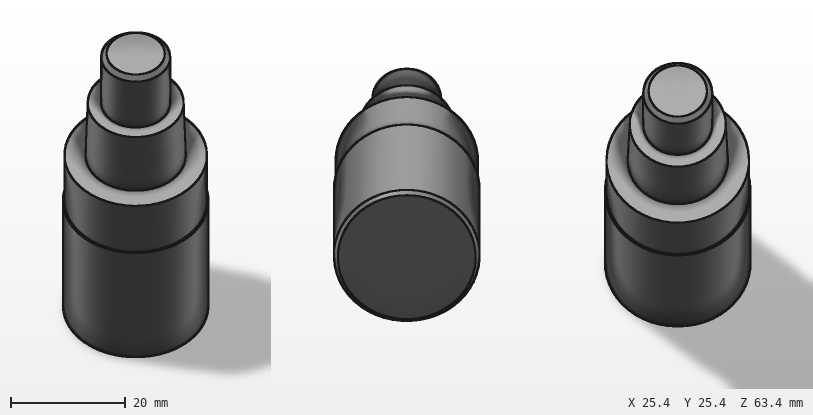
import cadquery as cq

TOTAL_HEIGHT = 63.35
BASE_TOP = 26.7
COLLAR_TOP = 38.15
TAPER_TOP = 51.1

BASE_DIAMETER = 25.4
BASE_RADIUS = BASE_DIAMETER / 2
COLLAR_RADIUS = 12.4
TAPER_BOTTOM_RADIUS = 8.75
TAPER_TOP_RADIUS = 8.35
SHAFT_RADIUS = 6.0

BASE_CHAMFER = 0.7
TIP_CHAMFER_HEIGHT = 0.8
TIP_CHAMFER_WIDTH = 0.95


def make_base():
    """Cylindrical base, chamfered around its bottom edge."""
    base = cq.Workplane("XY").circle(BASE_RADIUS).extrude(BASE_TOP)
    return base.faces("<Z").edges().chamfer(BASE_CHAMFER)


def make_stepped_pin():
    """Collar, tapered shoulder and chamfered shaft, seated on the base."""
    half_profile = [
        (0, BASE_TOP),
        (COLLAR_RADIUS, BASE_TOP),
        (COLLAR_RADIUS, COLLAR_TOP),
        (TAPER_BOTTOM_RADIUS, COLLAR_TOP),
        (TAPER_TOP_RADIUS, TAPER_TOP),
        (SHAFT_RADIUS, TAPER_TOP),
        (SHAFT_RADIUS, TOTAL_HEIGHT - TIP_CHAMFER_HEIGHT),
        (SHAFT_RADIUS - TIP_CHAMFER_WIDTH, TOTAL_HEIGHT),
        (0, TOTAL_HEIGHT),
    ]
    return cq.Workplane("XZ").polyline(half_profile).close().revolve(360, (0, 0), (0, 1))


base = make_base()
stepped_pin = make_stepped_pin()

result = cq.Compound.makeCompound([base.val(), stepped_pin.val()])